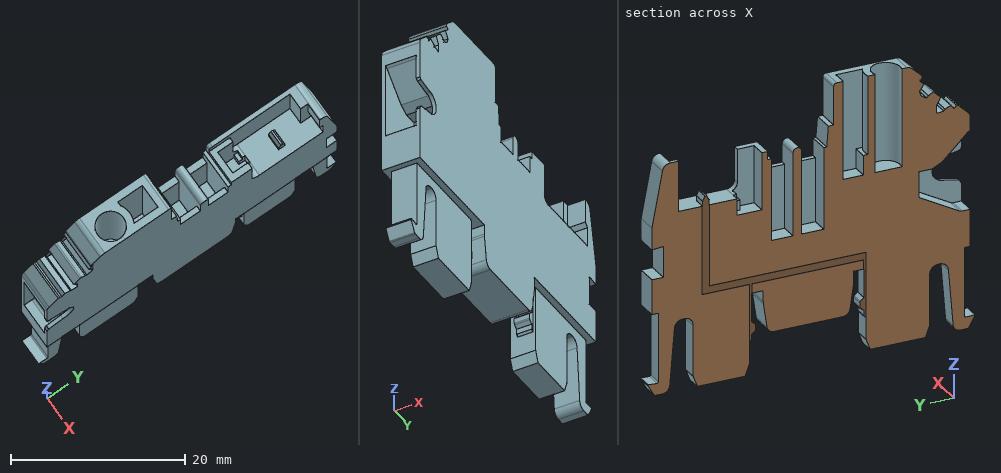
import cadquery as cq
import math


WIDTH = 5.1
LENGTH = 41.75
HEIGHT = 35.1

FRONT_Y = 0.6
BACK_Y = 41.25
BASE_Z = 10.45
KEEL_Z = 4.93
DECK_Z = 29.4
STEP_Z = 27.15
SLOT_TOP_Z = 24.9
KEEL_CENTRE_Y = 21.25
KEEL_HALF_TOP = 5.8
KEEL_HALF_BOTTOM = 5.22
KEEL_BEND_Z = 9.0
KEEL_BEND_RADIUS = 2.1
KEEL_CORNER_RADIUS = 0.95
TOWER_FRONT_Y = 8.3
TOWER_BACK_Y = 18.1
TOWER_STEP_Y = 18.75
TOWER_STEP_Z = 29.8
TOWER_FOOT_Y = 18.95
REAR_TOP_Y = 39.75
REAR_SLOPE_END_Z = 21.55
REAR_NOTCH_Y = 39.8
REAR_NOTCH_Z = (14.95, 18.85)
REAR_NOTCH_MOUTH_Z = 18.7

SLOT_FRONT_Y = 19.35
RIB_FRONT_Y = 22.1
RIB_BACK_Y = 23.25
SLOT_BACK_Y = 26.0
RIB_TOP_Z = 27.85
REAR_FRONT_Y = 26.45
SLOT_X = (0.88, 4.4)
SLOT_FLOOR_Z = 16.7

UPPER_GROOVE = ((7.05, 31.65), (6.9, 31.1), (6.2, 30.65))
LOWER_GROOVE = ((4.9, 29.4), (4.9, 28.45), (4.0, 28.53))
GROOVE_RIM = 0.25

FOOT_X = (0.88, 4.25)
HOOK_OUTER_Y = 1.35
FOOT_OUTER_Y = 5.75
FRONT_FOOT_INNER_Y = 13.95
BACK_FOOT_INNER_Y = 28.8
FOOT_CHAMFER_Y = 0.55
FOOT_CHAMFER_Z = 1.45
ARM_INNER_Y = (2.75, 3.5)
ARM_SOLE_RADIUS = 0.95
ARM_GAP_TOP_Z = 9.02
ARM_GAP_RADIUS = 1.05
HOOK_ROOT_Z = 1.55
HOOK_TIP_Z = (1.45, 1.63)
HOOK_SOLE_Y = 0.85
HOOK_RADIUS = 0.15

SIDE_WALL = 0.63
POCKET_FLOOR_Z = 22.97
POCKET_FRONT_Y = 29.35
POCKET_BACK_Y = 38.8
LIP_X = 2.75
LIP_Y = 37.8
UNDERCUT_TOP_Z = 26.1
UNDERCUT_DEPTH = 0.5

SOCKET_TOP_Z = 28.2
SOCKET_X = (1.25, 4.25)
SOCKET_Y = (27.25, 30.0)
SOCKET_FLOOR_Z = 20.9
SOCKET_FILLET = 1.0
LEDGE_Y = 29.5
LEDGE_Z = 22.15
KEYWAY_X = (2.25, 3.25)

SCREW_X = 2.9
SCREW_Y = 11.05
SCREW_RADIUS = 1.8
SCREW_COLLAR_RADIUS = 2.7
SCREW_FLOOR_Z = 22.55
WINDOW_X = (1.0, 4.15)
WINDOW_Y = (13.4, 16.85)
WINDOW_STEP_Y = 14.3
WINDOW_STEP_Z = 25.05

FUNNEL_X = (0.55, 4.6)
FUNNEL_BOTTOM_Z = 15.25
FUNNEL_TOP_Z = 25.3
FUNNEL_FLAT_Y = 1.85
FUNNEL_FLOOR_RADIUS = 0.65
FUNNEL_BACK_Y = 7.1
FUNNEL_BACK_Z = (18.13, 21.4)
ROOF_LIP = (0.9, 25.1)
ROOF_BEND = (4.18, 22.0)
ROOF_END_Y = 5.45
NOTCH_CENTRE = (2.85, 19.9)
NOTCH_RADIUS = 1.5
NOTCH_MOUTH_Z = (18.0, 22.0)
NOTCH_CORNER = 0.25
NOTCH_LOWER_CORNER_Z = 0.45

CONTACT_X = (1.9, 3.9)
LEG_THICKNESS = 0.25
LEG_BOTTOM_Z = 4.2
BUMP_Z = 6.0
BUMP_HALF_HEIGHT = 0.85
BUMP_HEIGHT = 0.55
BUMP_RADIUS = 0.2
BRIDGE_Z = (11.7, 12.55)
BLADE_Y = (33.9, 34.8)
BLADE_FLAT_Y = (34.25, 34.5)
BLADE_TOP_Z = 24.23
BLADE_TAPER = 0.63


def outline(points):
    """Closed Y-Z outline; a point (y, z, r) is a corner rounded with radius r."""
    path = []
    for i, point in enumerate(points):
        corner = cq.Vector(point[0], point[1])
        if len(point) == 2:
            path.append((corner, corner, corner))
            continue
        before = cq.Vector(*points[i - 1][:2]) - corner
        after = cq.Vector(*points[(i + 1) % len(points)][:2]) - corner
        half_angle = before.getAngle(after) / 2
        setback = point[2] / math.tan(half_angle)
        to_middle = point[2] / math.sin(half_angle) - point[2]
        bisector = (before.normalized() + after.normalized()).normalized()
        path.append((
            corner + before.normalized() * setback,
            corner + bisector * to_middle,
            corner + after.normalized() * setback,
        ))
    sketch = cq.Workplane("YZ").moveTo(*path[0][2].toTuple()[:2])
    for start, middle, end in path[1:] + path[:1]:
        sketch = sketch.lineTo(*start.toTuple()[:2])
        if start is not end:
            sketch = sketch.threePointArc(middle.toTuple()[:2], end.toTuple()[:2])
    return sketch.close()


def slab(points, x_range):
    """Y-Z outline extruded over a range of X."""
    return outline(points).extrude(x_range[1] - x_range[0]).translate((x_range[0], 0, 0))


def box(x_range, y_range, z_range):
    size = [high - low for low, high in (x_range, y_range, z_range)]
    corner = (x_range[0], y_range[0], z_range[0])
    return cq.Workplane("XY").box(*size, centered=False).translate(corner)


def shell_blank():
    """Full outline of the housing above the feet."""
    keel = [
        (KEEL_CENTRE_Y + KEEL_HALF_TOP, BASE_Z),
        (KEEL_CENTRE_Y + KEEL_HALF_TOP, KEEL_BEND_Z, KEEL_BEND_RADIUS),
        (KEEL_CENTRE_Y + KEEL_HALF_BOTTOM, KEEL_Z, KEEL_CORNER_RADIUS),
        (KEEL_CENTRE_Y - KEEL_HALF_BOTTOM, KEEL_Z, KEEL_CORNER_RADIUS),
        (KEEL_CENTRE_Y - KEEL_HALF_TOP, KEEL_BEND_Z, KEEL_BEND_RADIUS),
        (KEEL_CENTRE_Y - KEEL_HALF_TOP, BASE_Z),
    ]
    toothed_shoulder = [
        (FRONT_Y, 27.4, 1.0),
        (2.17, 28.9),
        (2.4, 28.9),
        (2.67, 28.55),
        (3.1, 29.07),
        (3.85, 28.75),
        LOWER_GROOVE[2],
        LOWER_GROOVE[0],
        (4.35, 30.35),
        (5.3, 31.3, 0.15),
        (5.97, 30.9),
        UPPER_GROOVE[2],
        UPPER_GROOVE[0],
        (6.47, 32.5),
        (7.05, 33.05),
        (6.72, 33.3),
        (6.72, 33.62, 0.2),
    ]
    tower_and_slots = [
        (TOWER_FRONT_Y, HEIGHT, 1.0),
        (TOWER_BACK_Y, HEIGHT, 0.4),
        (TOWER_BACK_Y, TOWER_STEP_Z),
        (TOWER_STEP_Y, TOWER_STEP_Z),
        (TOWER_FOOT_Y, STEP_Z),
        (SLOT_FRONT_Y, STEP_Z),
        (SLOT_FRONT_Y, SLOT_TOP_Z),
        (SLOT_BACK_Y, SLOT_TOP_Z),
        (SLOT_BACK_Y, STEP_Z),
        (REAR_FRONT_Y, STEP_Z),
    ]
    rear = [
        (REAR_FRONT_Y, DECK_Z, 0.5),
        (REAR_TOP_Y, DECK_Z, 1.05),
        (BACK_Y, REAR_SLOPE_END_Z),
        (BACK_Y, REAR_NOTCH_MOUTH_Z),
        (REAR_NOTCH_Y, REAR_NOTCH_Z[1]),
        (REAR_NOTCH_Y, REAR_NOTCH_Z[0]),
        (BACK_Y, REAR_NOTCH_Z[0]),
        (BACK_Y, BASE_Z),
    ]
    points = keel + [(FRONT_Y, BASE_Z)] + toothed_shoulder + tower_and_slots + rear
    return slab(points, (0, WIDTH))


def slot_rib():
    """Round-topped rib between the bridge slots."""
    radius = (RIB_BACK_Y - RIB_FRONT_Y) / 2
    centre_z = RIB_TOP_Z - radius
    return (
        cq.Workplane("YZ")
        .moveTo(RIB_FRONT_Y, SLOT_FLOOR_Z)
        .lineTo(RIB_FRONT_Y, centre_z)
        .threePointArc((RIB_FRONT_Y + radius, RIB_TOP_Z), (RIB_BACK_Y, centre_z))
        .lineTo(RIB_BACK_Y, SLOT_FLOOR_Z)
        .close()
        .extrude(WIDTH)
    )


def groove_corners():
    """Deep inner corners of the tooth grooves, behind the thin side rim."""
    across = (GROOVE_RIM, WIDTH)
    return slab(UPPER_GROOVE, across).union(slab(LOWER_GROOVE, across))


def bridge_slots():
    front = box(SLOT_X, (SLOT_FRONT_Y, RIB_FRONT_Y), (SLOT_FLOOR_Z, SLOT_TOP_Z))
    back = box(SLOT_X, (RIB_BACK_Y, SLOT_BACK_Y), (SLOT_FLOOR_Z, SLOT_TOP_Z))
    return front.union(back)


def rear_compartment():
    """Space open at the top and the +X side, with a fillet at the foot of the socket."""
    inside = (SIDE_WALL, WIDTH)
    above_floor = (POCKET_FLOOR_Z, HEIGHT)
    main = box(inside, (POCKET_FRONT_Y, LIP_Y), above_floor)
    main = main.cut(socket_foot_fillet())
    beside_lip = box((LIP_X, WIDTH), (LIP_Y, POCKET_BACK_Y), above_floor)
    groove_y = POCKET_BACK_Y + UNDERCUT_DEPTH
    undercut = slab(
        [
            (POCKET_BACK_Y, POCKET_FLOOR_Z),
            (groove_y, POCKET_FLOOR_Z),
            (groove_y, UNDERCUT_TOP_Z - UNDERCUT_DEPTH),
            (POCKET_BACK_Y, UNDERCUT_TOP_Z),
        ],
        (LIP_X, WIDTH),
    )
    return main.union(beside_lip).union(undercut)


def socket_foot_fillet():
    """Concave fillet where the pocket floor meets the rear of the socket."""
    end_y = POCKET_FRONT_Y + SOCKET_FILLET
    top_z = POCKET_FLOOR_Z + SOCKET_FILLET
    diagonal = SOCKET_FILLET * math.sqrt(0.5)
    return (
        cq.Workplane("YZ", origin=(SIDE_WALL, 0, 0))
        .moveTo(POCKET_FRONT_Y, POCKET_FLOOR_Z)
        .lineTo(end_y, POCKET_FLOOR_Z)
        .threePointArc((end_y - diagonal, top_z - diagonal), (POCKET_FRONT_Y, top_z))
        .close()
        .extrude(WIDTH - SIDE_WALL)
    )


def socket():
    """Square socket open to the rear, with a ledge split by a keyway."""
    above = box((SIDE_WALL, WIDTH), (REAR_FRONT_Y, POCKET_FRONT_Y), (SOCKET_TOP_Z, HEIGHT))
    hole = box(SOCKET_X, (SOCKET_Y[0], LEDGE_Y), (SOCKET_FLOOR_Z, HEIGHT))
    ledge = box(SOCKET_X, (LEDGE_Y, SOCKET_Y[1]), (LEDGE_Z, HEIGHT))
    keyway_y = (LEDGE_Y, POCKET_FRONT_Y + SOCKET_FILLET)
    keyway = box(KEYWAY_X, keyway_y, (SOCKET_FLOOR_Z, HEIGHT))
    return above.union(hole).union(ledge).union(keyway)


def screw_cylinder(radius):
    depth = HEIGHT - SCREW_FLOOR_Z
    return (
        cq.Workplane("XY", origin=(SCREW_X, SCREW_Y, SCREW_FLOOR_Z))
        .circle(radius)
        .extrude(depth)
    )


def tower_openings():
    """Screw hole and the square window whose front side follows the screw collar."""
    window = box(WINDOW_X, (WINDOW_STEP_Y, WINDOW_Y[1]), (SCREW_FLOOR_Z, HEIGHT))
    window = window.union(
        box(WINDOW_X, (WINDOW_Y[0], WINDOW_STEP_Y), (WINDOW_STEP_Z, HEIGHT))
    )
    window = window.cut(screw_cylinder(SCREW_COLLAR_RADIUS))
    return window.union(screw_cylinder(SCREW_RADIUS))


def wire_funnel():
    """Funnel narrowing inwards from the front face."""
    return slab(
        [
            (FRONT_Y, FUNNEL_BOTTOM_Z),
            (FUNNEL_FLAT_Y, FUNNEL_BOTTOM_Z, FUNNEL_FLOOR_RADIUS),
            (FUNNEL_BACK_Y, FUNNEL_BACK_Z[0]),
            (FUNNEL_BACK_Y, FUNNEL_BACK_Z[1]),
            (ROOF_END_Y, FUNNEL_BACK_Z[1]),
            ROOF_BEND,
            ROOF_LIP,
            (FRONT_Y, FUNNEL_TOP_Z),
        ],
        FUNNEL_X,
    )


def funnel_side_notch():
    """Round-ended notch through the +X wall of the funnel, flared at its mouth."""
    centre_y, centre_z = NOTCH_CENTRE
    low, high = NOTCH_MOUTH_Z
    return (
        cq.Workplane("YZ", origin=(FUNNEL_X[1], 0, 0))
        .moveTo(FRONT_Y, low - NOTCH_LOWER_CORNER_Z)
        .lineTo(FRONT_Y + NOTCH_CORNER, low)
        .lineTo(centre_y, centre_z - NOTCH_RADIUS)
        .threePointArc((centre_y + NOTCH_RADIUS, centre_z), (centre_y, centre_z + NOTCH_RADIUS))
        .lineTo(FRONT_Y + NOTCH_CORNER, high - NOTCH_CORNER)
        .lineTo(FRONT_Y, high)
        .close()
        .extrude(WIDTH - FUNNEL_X[1])
    )


def front_foot(inner_y):
    """Foot at the front end: hooked spring arm and chamfered block, joined at the top."""
    return slab(
        [
            (HOOK_OUTER_Y, BASE_Z),
            (HOOK_OUTER_Y, HOOK_ROOT_Z, HOOK_RADIUS),
            (0, HOOK_TIP_Z[1]),
            (0, HOOK_TIP_Z[0]),
            (HOOK_SOLE_Y, 0, HOOK_RADIUS),
            (ARM_INNER_Y[0], 0, ARM_SOLE_RADIUS),
            (ARM_INNER_Y[1], ARM_GAP_TOP_Z, ARM_GAP_RADIUS),
            (FOOT_OUTER_Y, ARM_GAP_TOP_Z, ARM_GAP_RADIUS),
            (FOOT_OUTER_Y, FOOT_CHAMFER_Z),
            (FOOT_OUTER_Y + FOOT_CHAMFER_Y, 0),
            (inner_y - FOOT_CHAMFER_Y, 0),
            (inner_y, FOOT_CHAMFER_Z),
            (inner_y, BASE_Z),
        ],
        FOOT_X,
    )


def back_foot():
    """Mirror image of a front foot with its own block length."""
    foot = front_foot(LENGTH - BACK_FOOT_INNER_Y)
    return foot.mirror("XZ").translate((0, LENGTH, 0))


def contact_leg(foot_face_y, direction):
    """Strip lying on the inner face of a foot, with a rail bump facing `direction` in Y."""
    strip_y = foot_face_y + direction * LEG_THICKNESS
    bump_y = strip_y + direction * BUMP_HEIGHT
    return slab(
        [
            (foot_face_y, BRIDGE_Z[1]),
            (foot_face_y, LEG_BOTTOM_Z),
            (strip_y, LEG_BOTTOM_Z + LEG_THICKNESS),
            (strip_y, BUMP_Z - BUMP_HALF_HEIGHT),
            (bump_y, BUMP_Z - BUMP_HALF_HEIGHT / 2, BUMP_RADIUS),
            (bump_y, BUMP_Z + BUMP_HALF_HEIGHT / 2, BUMP_RADIUS),
            (strip_y, BUMP_Z + BUMP_HALF_HEIGHT),
            (strip_y, BRIDGE_Z[1]),
        ],
        CONTACT_X,
    )


def contact_body():
    """Two rail legs joined by a bridge inside the housing, with an upright tapered blade."""
    bridge = box(CONTACT_X, (FRONT_FOOT_INNER_Y, BLADE_Y[1]), BRIDGE_Z)
    blade = slab(
        [
            (BLADE_Y[0], BRIDGE_Z[0]),
            (BLADE_Y[1], BRIDGE_Z[0]),
            (BLADE_Y[1], BLADE_TOP_Z - BLADE_TAPER),
            (BLADE_FLAT_Y[1], BLADE_TOP_Z),
            (BLADE_FLAT_Y[0], BLADE_TOP_Z),
            (BLADE_Y[0], BLADE_TOP_Z - BLADE_TAPER),
        ],
        CONTACT_X,
    )
    return (
        bridge.union(blade)
        .union(contact_leg(FRONT_FOOT_INNER_Y, 1))
        .union(contact_leg(BACK_FOOT_INNER_Y, -1))
    )


contact = contact_body()

housing = shell_blank().union(slot_rib()).union(front_foot(FRONT_FOOT_INNER_Y)).union(back_foot())
openings = [
    groove_corners(),
    bridge_slots(),
    rear_compartment(),
    socket(),
    tower_openings(),
    wire_funnel(),
    funnel_side_notch(),
    contact,
]
for opening in openings:
    housing = housing.cut(opening)

result = cq.Compound.makeCompound([housing.solids().val(), contact.solids().val()])